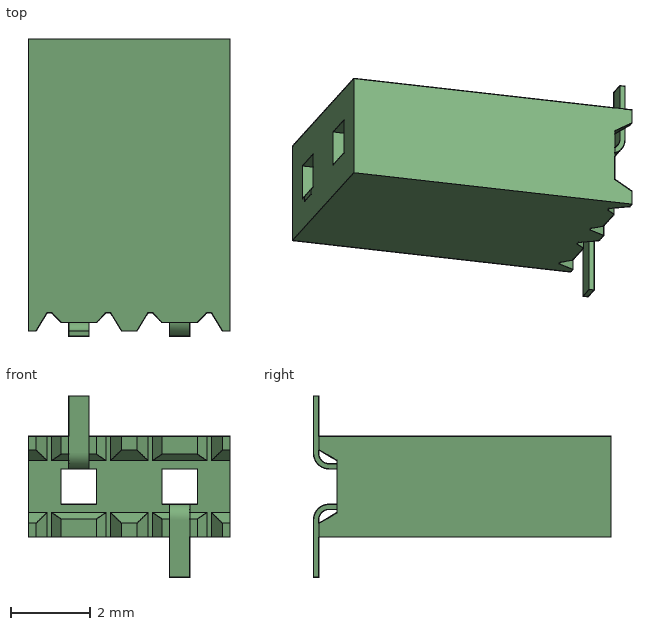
import cadquery as cq

overall_depth = 7.49
overall_height = 4.57
pitch = 2.54
contact_count = 2
housing_width = contact_count * pitch
housing_height = 2.54

strip_width = 0.52
strip_thickness = 0.135
bend_outer_radius = 0.4
bend_inner_radius = bend_outer_radius - strip_thickness

passage_size = 0.885
contact_x = pitch / 2

tall_tooth_height = 0.46
tall_base_width = 0.94
tall_tip_width = 0.39
tall_tip_inner_z = 0.92
short_tooth_height = 0.25
short_base_width = 1.37
short_tip_width = passage_size
short_tip_inner_z = 0.82
tooth_base_inner_z = 0.65

tooth_tip_y = strip_thickness
face_y = tooth_tip_y + tall_tooth_height
body_depth = overall_depth - face_y


def make_contact(x, side):
    """L-shaped contact lying along a passage wall; side is +1 for an upward tail, -1 for a downward one."""
    wall_z = passage_size / 2
    tail_end_z = overall_height / 2
    bend_end_z = wall_z + bend_outer_radius
    profile = (
        cq.Workplane("YZ", origin=(x - strip_width / 2, 0, 0))
        .moveTo(overall_depth, wall_z)
        .lineTo(bend_outer_radius, wall_z)
        .radiusArc((0, bend_end_z), bend_outer_radius)
        .lineTo(0, tail_end_z)
        .lineTo(strip_thickness, tail_end_z)
        .lineTo(strip_thickness, bend_end_z)
        .radiusArc((bend_outer_radius, wall_z + strip_thickness), -bend_inner_radius)
        .lineTo(overall_depth, wall_z + strip_thickness)
        .close()
    )
    contact = profile.extrude(strip_width)
    if side < 0:
        contact = contact.mirror("XY")
    return contact


def make_tooth(x, side, height, base_width, tip_width, tip_inner_z):
    """Tapered tooth on the front face, flush with the top (side +1) or bottom (side -1) of the housing."""
    outer_z = housing_height / 2

    def section(y, width, inner_z):
        corners = [
            (x - width / 2, y, side * inner_z),
            (x + width / 2, y, side * inner_z),
            (x + width / 2, y, side * outer_z),
            (x - width / 2, y, side * outer_z),
        ]
        return cq.Wire.makePolygon([cq.Vector(*corner) for corner in corners], close=True)

    base = section(face_y, base_width, tooth_base_inner_z)
    tip = section(face_y - height, tip_width, tip_inner_z)
    return cq.Workplane(cq.Solid.makeLoft([base, tip], True))


def make_housing():
    """Block with two rows of teeth and a through passage per contact."""
    block = cq.Workplane("XY").box(housing_width, body_depth, housing_height)
    housing = block.translate((0, face_y + body_depth / 2, 0))
    for side in (1, -1):
        for x in (-pitch, 0, pitch):
            housing = housing.union(
                make_tooth(x, side, tall_tooth_height, tall_base_width, tall_tip_width, tall_tip_inner_z)
            )
        for x in (-contact_x, contact_x):
            housing = housing.union(
                make_tooth(x, side, short_tooth_height, short_base_width, short_tip_width, short_tip_inner_z)
            )

    envelope = cq.Workplane("XY").box(housing_width, 2 * overall_depth, housing_height)
    housing = housing.intersect(envelope)

    for x in (-contact_x, contact_x):
        passage = cq.Workplane("XY").box(passage_size, 2 * overall_depth, passage_size)
        housing = housing.cut(passage.translate((x, 0, 0)))
    return housing


contact = make_contact(contact_x, -1)

housing = make_housing().union(make_contact(-contact_x, 1)).cut(contact)

result = cq.Compound.makeCompound([housing.solids().val(), contact.val()])